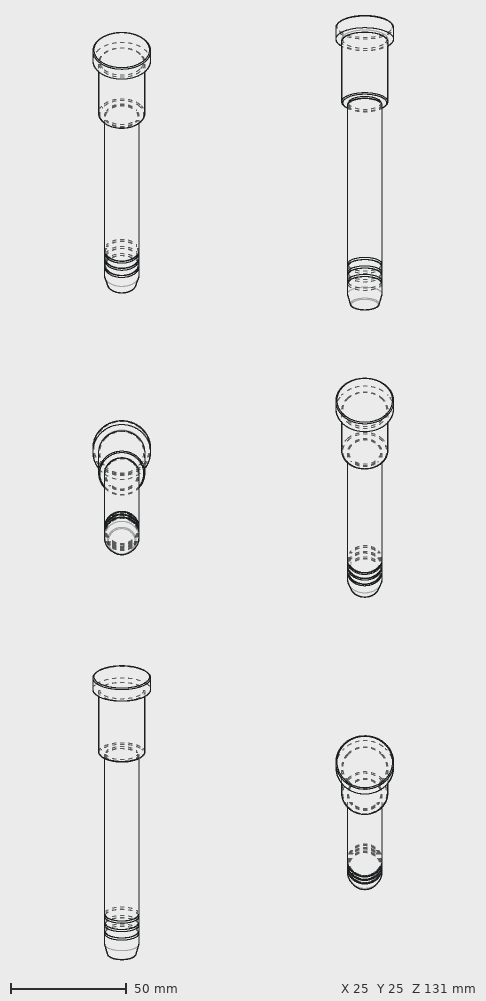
import cadquery as cq
import math

total_length = 131.0
head_diameter = 25.0
head_height = 6.0
head_chamfer = 0.5

shoulder_diameter = 20.0
shoulder_length = 30.0
shoulder_chamfer = 0.5

shank_diameter = 15.0

relief_width = 1.0
relief_depth = 0.5

groove_radius = 0.5
groove_width = 2 * groove_radius
groove_count = 3
groove_pitch = 4.0
lowest_groove_height = 10.0

tip_length = 5.0
tip_half_angle = 15.0
tip_fillet = 0.5

head_underside = total_length - head_height
shoulder_bottom = head_underside - shoulder_length


def cylinder(diameter, bottom, top):
    return cq.Workplane("XY").workplane(offset=bottom).circle(diameter / 2).extrude(top - bottom)


def revolve_about_axis(outline):
    return outline.revolve(360, (0, 0, 0), (0, 1, 0))


def half_round_groove(diameter, bottom):
    """Ring of half-round section that cuts a groove into a cylinder of the given diameter."""
    surface = diameter / 2
    middle = bottom + groove_radius
    top = bottom + groove_width
    diagonal = groove_radius * math.sqrt(0.5)
    outline = (
        cq.Workplane("XZ")
        .moveTo(surface, bottom)
        .threePointArc((surface - diagonal, middle - diagonal), (surface - groove_radius, middle))
        .threePointArc((surface - diagonal, middle + diagonal), (surface, top))
        .close()
    )
    return revolve_about_axis(outline)


def make_head():
    head = cylinder(head_diameter, head_underside, total_length)
    return head.faces(">Z").edges().chamfer(head_chamfer)


def make_shoulder():
    shoulder = cylinder(shoulder_diameter, shoulder_bottom, head_underside)
    shoulder = shoulder.faces("<Z").edges().chamfer(shoulder_chamfer)
    return shoulder.cut(half_round_groove(shoulder_diameter, head_underside - groove_width))


def make_shank():
    relief_bottom = shoulder_bottom - relief_width
    relief_diameter = shank_diameter - 2 * relief_depth
    shank = cylinder(shank_diameter, tip_length, relief_bottom)
    for index in range(groove_count):
        groove_bottom = lowest_groove_height + index * groove_pitch
        shank = shank.cut(half_round_groove(shank_diameter, groove_bottom))
    return shank.union(cylinder(relief_diameter, relief_bottom, shoulder_bottom))


def make_tip():
    shank_radius = shank_diameter / 2
    end_radius = shank_radius - tip_length * math.tan(math.radians(tip_half_angle))
    outline = (
        cq.Workplane("XZ")
        .lineTo(end_radius, 0)
        .lineTo(shank_radius, tip_length)
        .lineTo(0, tip_length)
        .close()
    )
    return revolve_about_axis(outline).faces("<Z").edges().fillet(tip_fillet)


result = make_head().union(make_shoulder()).union(make_shank()).union(make_tip())